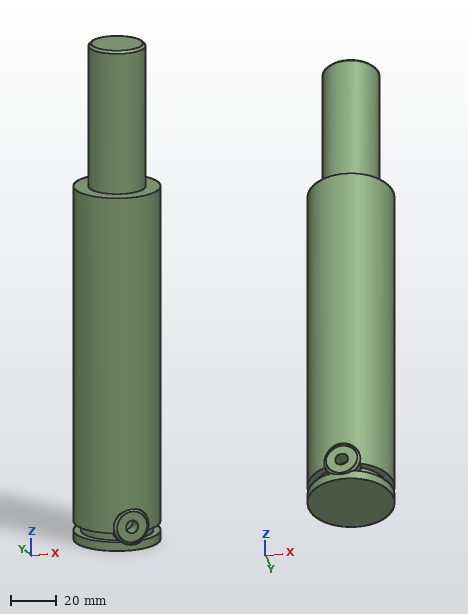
import cadquery as cq

total_height = 225.0
body_diameter = 38.0
body_height = 160.2
rod_diameter = 25.0
rod_chamfer = 1.1

groove_bottom = 4.0
groove_width = 4.0
groove_depth = 3.2

port_height = 10.5
port_diameter = 16.2
port_flat_distance = 18.7
port_chamfer = 1.1
port_hole_diameter = 5.6
port_hole_depth = 6.8

body_radius = body_diameter / 2


def make_cylinder():
    """Body with a coaxial rod whose free end is chamfered."""
    body = cq.Workplane("XY").circle(body_radius).extrude(body_height)
    rod = (
        cq.Workplane("XY")
        .circle(rod_diameter / 2)
        .extrude(total_height)
        .faces(">Z")
        .chamfer(rod_chamfer)
    )
    return body.union(rod)


def make_groove():
    """Square-sided ring removed from around the base."""
    return (
        cq.Workplane("XY", origin=(0, 0, groove_bottom))
        .circle(body_diameter)
        .circle(body_radius - groove_depth)
        .extrude(groove_width)
    )


def port_disc(diameter, start, end):
    """Disc on the port axis between two distances from the cylinder axis."""
    return (
        cq.Workplane("XZ", origin=(0, -start, port_height))
        .circle(diameter / 2)
        .extrude(end - start)
    )


def add_port(part):
    """Replace a round patch of the wall with a flat, chamfered and drilled plug."""
    seat_distance = body_radius - 2 * groove_depth
    seat = port_disc(port_diameter, seat_distance, body_diameter)
    plug = port_disc(port_diameter, seat_distance, port_flat_distance).faces("<Y").chamfer(port_chamfer)
    hole = port_disc(port_hole_diameter, port_flat_distance - port_hole_depth, port_flat_distance)
    return part.cut(seat).union(plug).cut(hole)


result = add_port(make_cylinder().cut(make_groove()))